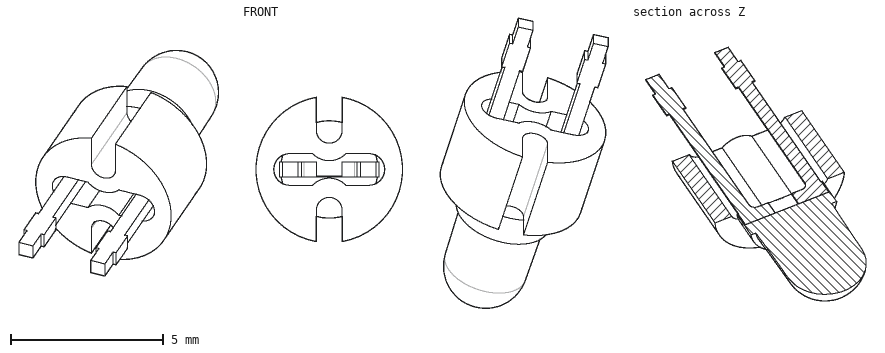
import cadquery as cq
import math

LENGTH = 11.19

HOLDER_DIAMETER = 4.81
HOLDER_START = 3.56
HOLDER_LENGTH = 3.04
HOLDER_END = HOLDER_START + HOLDER_LENGTH
NOTCH_WIDTH = 0.85
UPPER_NOTCH_BOTTOM = 0.86
LOWER_NOTCH_BOTTOM = 0.92
OPENING_LENGTH = 3.63
OPENING_HEIGHT = 1.04
WAIST_HEIGHT = 0.57
WAIST_WIDTH = 1.1

FLANGE_DIAMETER = 3.2
FLANGE_LENGTH = 1.01
FLANGE_END = HOLDER_END + FLANGE_LENGTH
DOME_RADIUS = 1.39
DRAFT = math.radians(1.0)

LEAD_SPACING = 2.55
LEAD_WIDTH = 0.5
LEAD_THICKNESS = 0.5
BULGE_WIDTH = 0.72
BULGE_START = 0.7
BULGE_END = 1.7
FOOT_GAP = 0.85
FOOT_DEPTH = 0.5
FOOT_FILLET = 0.2
SLIT_HEIGHT = 0.05

LEAD_OUTER = (LEAD_SPACING + LEAD_WIDTH) / 2
LEAD_INNER = (LEAD_SPACING - LEAD_WIDTH) / 2
BULGE_OUTER = (LEAD_SPACING + BULGE_WIDTH) / 2
BULGE_INNER = (LEAD_SPACING - BULGE_WIDTH) / 2
FOOT_INNER = FOOT_GAP / 2
LEAD_END = HOLDER_END + FOOT_DEPTH


def along_y(start):
    """XZ sketch plane at Y = start; extrude toward +Y with a negative length."""
    return cq.Workplane("XZ", origin=(0, start, 0))


def make_opening():
    """Round-ended slot through the holder, pinched at the middle by two arcs."""
    half_height = OPENING_HEIGHT / 2
    half_waist = WAIST_HEIGHT / 2
    waist_side = WAIST_WIDTH / 2
    tip = OPENING_LENGTH / 2
    round_start = tip - half_height
    return (
        along_y(HOLDER_START)
        .moveTo(-round_start, half_height)
        .lineTo(-waist_side, half_height)
        .threePointArc((0, half_waist), (waist_side, half_height))
        .lineTo(round_start, half_height)
        .threePointArc((tip, 0), (round_start, -half_height))
        .lineTo(waist_side, -half_height)
        .threePointArc((0, -half_waist), (-waist_side, -half_height))
        .lineTo(-round_start, -half_height)
        .threePointArc((-tip, 0), (-round_start, half_height))
        .close()
        .extrude(-HOLDER_LENGTH)
    )


def make_notch(side, bottom):
    """Round-bottomed notch through the holder, above (side = 1) or below (side = -1) the axis."""
    half_width = NOTCH_WIDTH / 2
    round_start = side * (bottom + half_width)
    mouth = side * HOLDER_DIAMETER
    return (
        along_y(HOLDER_START)
        .moveTo(-half_width, mouth)
        .lineTo(-half_width, round_start)
        .threePointArc((0, side * bottom), (half_width, round_start))
        .lineTo(half_width, mouth)
        .close()
        .extrude(-HOLDER_LENGTH)
    )


def make_holder():
    holder = along_y(HOLDER_START).circle(HOLDER_DIAMETER / 2).extrude(-HOLDER_LENGTH)
    holder = holder.cut(make_opening())
    for side, bottom in ((1, UPPER_NOTCH_BOTTOM), (-1, LOWER_NOTCH_BOTTOM)):
        holder = holder.cut(make_notch(side, bottom))
    return holder


def make_lead(side):
    """Flat lead with a bulge near its tip and a filleted foot that turns toward the axis."""
    outline = [
        (LEAD_OUTER, 0),
        (LEAD_OUTER, BULGE_START),
        (BULGE_OUTER, BULGE_START),
        (BULGE_OUTER, BULGE_END),
        (LEAD_OUTER, BULGE_END),
        (LEAD_OUTER, LEAD_END),
        (FOOT_INNER, LEAD_END),
        (FOOT_INNER, HOLDER_END),
        (LEAD_INNER - FOOT_FILLET, HOLDER_END),
    ]
    arc_offset = FOOT_FILLET * (1 - math.sqrt(0.5))
    arc_middle = (LEAD_INNER - arc_offset, HOLDER_END - arc_offset)
    lead = (
        cq.Workplane("XY", origin=(0, 0, -LEAD_THICKNESS / 2))
        .polyline(outline)
        .threePointArc(arc_middle, (LEAD_INNER, HOLDER_END - FOOT_FILLET))
        .lineTo(LEAD_INNER, BULGE_END)
        .lineTo(BULGE_INNER, BULGE_END)
        .lineTo(BULGE_INNER, BULGE_START)
        .lineTo(LEAD_INNER, BULGE_START)
        .lineTo(LEAD_INNER, 0)
        .close()
        .extrude(LEAD_THICKNESS)
    )
    return lead if side > 0 else lead.mirror("YZ")


def make_led(leads):
    """Flange and slightly tapered lens with a tangent dome, hollowed where the feet sit."""
    dome_center = LENGTH - DOME_RADIUS
    dome_start_radius = DOME_RADIUS * math.cos(DRAFT)
    dome_start = dome_center + DOME_RADIUS * math.sin(DRAFT)
    lens_base_radius = dome_start_radius + (dome_start - FLANGE_END) * math.tan(DRAFT)
    dome_middle = (DOME_RADIUS * math.sqrt(0.5), dome_center + DOME_RADIUS * math.sqrt(0.5))
    led = (
        cq.Workplane("XY")
        .moveTo(0, HOLDER_END)
        .lineTo(FLANGE_DIAMETER / 2, HOLDER_END)
        .lineTo(FLANGE_DIAMETER / 2, FLANGE_END)
        .lineTo(lens_base_radius, FLANGE_END)
        .lineTo(dome_start_radius, dome_start)
        .threePointArc(dome_middle, (0, LENGTH))
        .close()
        .revolve(360, (0, 0, 0), (0, 1, 0))
    )
    for lead in leads:
        led = led.cut(lead)
    slit = (
        along_y(HOLDER_END)
        .center(0, (SLIT_HEIGHT - LEAD_THICKNESS) / 2)
        .rect(FOOT_GAP, SLIT_HEIGHT)
        .extrude(-FOOT_DEPTH)
    )
    return led.cut(slit)


holder = make_holder()
leads = [make_lead(side) for side in (-1, 1)]
led = make_led(leads)

result = cq.Compound.makeCompound([holder.val(), led.val(), *[lead.val() for lead in leads]])